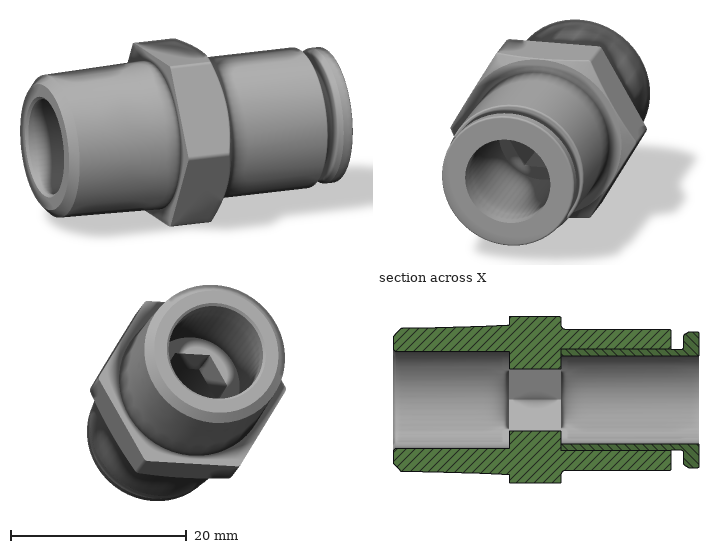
import cadquery as cq
import math


TOTAL_LENGTH = 34.85
HEX_START = 13.2
HEX_LENGTH = 5.92
BODY_END = 31.65
HEX_END = HEX_START + HEX_LENGTH

THREAD_BASE_DIAMETER = 17.08
THREAD_TIP_DIAMETER = 16.38
THREAD_FACE_DIAMETER = 14.45
THREAD_CHAMFER_LENGTH = 0.9

HEX_SIDES = 6
HEX_ACROSS_FLATS = 19.0
HEX_CORNER_FILLET = 0.5
HEX_CHAMFER_DIAMETER = 18.82
HEX_CHAMFER_ANGLE = 30.0
HEX_ARC_FILLET = 0.2

BODY_DIAMETER = 16.15
BODY_RIM_FILLET = 0.2
BODY_BASE_FILLET = 0.5

BORE_DIAMETER = 10.98
BORE_CHAMFER = 0.28
BORE_DEPTH = HEX_START
KEY_ACROSS_FLATS = 7.0

NECK_DIAMETER = 11.5
TUBE_DIAMETER = 10.0
FLANGE_DIAMETER = 15.55
FLANGE_THICKNESS = 1.8
FLANGE_BACK_FILLET = 0.2
FLANGE_CHAMFER_LENGTH = 0.63
FLANGE_CHAMFER_ANGLE = 30.0
FLANGE_FRONT_FILLET = 0.3
NECK_FILLET = 0.28
SLEEVE_START = HEX_END


def disc(diameter, start, end):
    """Cylinder on the Y axis between two positions."""
    return cq.Workplane("XZ", origin=(0, start, 0)).circle(diameter / 2).extrude(start - end)


def hexagon(across_flats, start, end):
    """Hexagonal prism on the Y axis with its corners on +X and -X."""
    across_corners = across_flats / math.cos(math.radians(180 / HEX_SIDES))
    return cq.Workplane("XZ", origin=(0, start, 0)).polygon(HEX_SIDES, across_corners).extrude(start - end)


def revolve_about_y(points):
    """Solid of revolution from a closed (radius, y) outline."""
    return cq.Workplane("XY").polyline(points).close().revolve(360, (0, 0, 0), (0, 1, 0))


def make_thread():
    """Tapered male thread with a chamfered tip."""
    return revolve_about_y([
        (0, 0),
        (THREAD_FACE_DIAMETER / 2, 0),
        (THREAD_TIP_DIAMETER / 2, THREAD_CHAMFER_LENGTH),
        (THREAD_BASE_DIAMETER / 2, HEX_START),
        (0, HEX_START),
    ])


def make_nut():
    """Hexagon with rounded corners and a conical chamfer on the body side."""
    prism = hexagon(HEX_ACROSS_FLATS, HEX_START, HEX_END).edges("|Y").fillet(HEX_CORNER_FILLET)
    chamfer_radius = HEX_CHAMFER_DIAMETER / 2
    envelope_radius = HEX_ACROSS_FLATS
    drop = (envelope_radius - chamfer_radius) * math.tan(math.radians(HEX_CHAMFER_ANGLE))
    envelope = revolve_about_y([
        (0, HEX_START),
        (envelope_radius, HEX_START),
        (envelope_radius, HEX_END - drop),
        (chamfer_radius, HEX_END),
        (0, HEX_END),
    ])
    nut = prism.intersect(envelope)
    chamfer_arcs = nut.faces("%CONE").edges("not %CIRCLE")
    return chamfer_arcs.fillet(HEX_ARC_FILLET)


def circle_at(solid, diameter, y):
    """Circular edge of the solid with the given diameter and position along the axis."""
    tolerance = 0.005
    return solid.edges("%CIRCLE").filter(
        lambda edge: abs(edge.radius() - diameter / 2) < tolerance and abs(edge.Center().y - y) < tolerance
    )


def make_housing():
    """Threaded, hexagonal and round outside with the bore, key socket and sleeve socket inside."""
    body = disc(BODY_DIAMETER, HEX_START, BODY_END)
    housing = make_thread().union(make_nut()).union(body)
    housing = circle_at(housing, BODY_DIAMETER, BODY_END).fillet(BODY_RIM_FILLET)
    housing = circle_at(housing, BODY_DIAMETER, HEX_END).fillet(BODY_BASE_FILLET)

    bore = disc(BORE_DIAMETER, 0, BORE_DEPTH)
    key_socket = hexagon(KEY_ACROSS_FLATS, BORE_DEPTH, SLEEVE_START)
    sleeve_socket = disc(NECK_DIAMETER, SLEEVE_START, BODY_END)
    housing = housing.cut(bore).cut(key_socket).cut(sleeve_socket)
    return circle_at(housing, BORE_DIAMETER, 0).chamfer(BORE_CHAMFER)


def make_release_sleeve():
    """Tubular sleeve whose neck fills the socket and whose flange is pressed to free the tube."""
    flange_start = TOTAL_LENGTH - FLANGE_THICKNESS
    chamfer_depth = FLANGE_CHAMFER_LENGTH * math.tan(math.radians(FLANGE_CHAMFER_ANGLE))
    flange_front_diameter = FLANGE_DIAMETER - 2 * chamfer_depth
    sleeve = revolve_about_y([
        (0, SLEEVE_START),
        (NECK_DIAMETER / 2, SLEEVE_START),
        (NECK_DIAMETER / 2, flange_start),
        (flange_front_diameter / 2, flange_start),
        (FLANGE_DIAMETER / 2, flange_start + FLANGE_CHAMFER_LENGTH),
        (FLANGE_DIAMETER / 2, TOTAL_LENGTH),
        (0, TOTAL_LENGTH),
    ])
    sleeve = circle_at(sleeve, FLANGE_DIAMETER, TOTAL_LENGTH).fillet(FLANGE_BACK_FILLET)
    sleeve = circle_at(sleeve, flange_front_diameter, flange_start).fillet(FLANGE_FRONT_FILLET)
    sleeve = circle_at(sleeve, NECK_DIAMETER, flange_start).fillet(NECK_FILLET)
    return sleeve.cut(disc(TUBE_DIAMETER, SLEEVE_START, TOTAL_LENGTH))


housing = make_housing()
release_sleeve = make_release_sleeve()

result = cq.Compound.makeCompound([housing.solids().val(), release_sleeve.solids().val()])